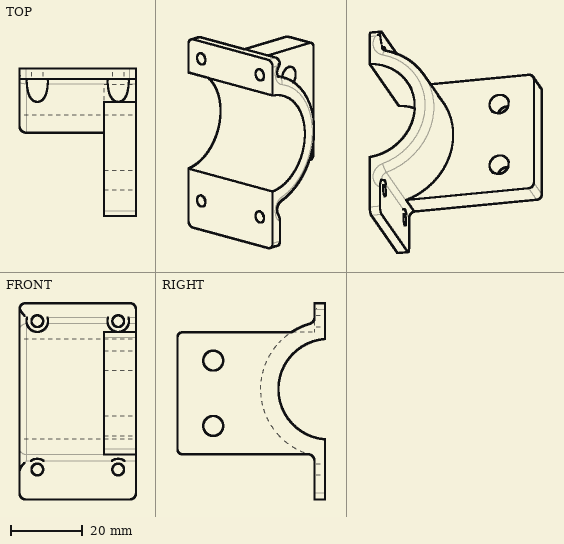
import cadquery as cq
import math

length = 32.55

bore_radius = 14.0
wall = 5.0
shell_radius = bore_radius + wall
end_round = 2.0

back_y = -1.0
flange_thickness = 3.0
flange_y = back_y - flange_thickness
flange_top = 24.0
flange_bottom = -30.8
flange_corner = 1.8
root_radius = 1.8

screw_diameter = 3.2
head_diameter = 6.0
screw_end_distance = 5.0
screw_x = (screw_end_distance, length - screw_end_distance)
screw_z = (18.95, -22.4)

part_depth = 41.2
plate_thickness = 9.0
plate_height = 34.1
plate_middle_z = -1.15
plate_corner = 1.5
plate_end_y = back_y - part_depth
bolt_diameter = 5.5
bolt_spacing = 18.2
bolt_edge_distance = 10.0


blend_y = flange_y - root_radius
blend_z = math.sqrt((shell_radius + root_radius) ** 2 - blend_y ** 2)
blend_angle = math.atan2(blend_z, -blend_y)


def make_shell_and_flanges():
    """Extrude the solid arch, its flanges and their concave root blends along X."""
    tangent_y = -shell_radius * math.cos(blend_angle)
    tangent_z = shell_radius * math.sin(blend_angle)

    middle_y = blend_y + root_radius * math.cos(blend_angle / 2)
    middle_z = blend_z - root_radius * math.sin(blend_angle / 2)

    return (
        cq.Workplane("YZ")
        .moveTo(back_y, flange_top)
        .lineTo(flange_y, flange_top)
        .lineTo(flange_y, blend_z)
        .threePointArc((middle_y, middle_z), (tangent_y, tangent_z))
        .threePointArc((-shell_radius, 0), (tangent_y, -tangent_z))
        .threePointArc((middle_y, -middle_z), (flange_y, -blend_z))
        .lineTo(flange_y, flange_bottom)
        .lineTo(back_y, flange_bottom)
        .close()
        .extrude(length)
    )


def make_rim_cutter(surface_radius, material_side, angle):
    """Revolve the waste corner of a rim rounding about the X axis, starting at -Y.

    material_side is -1 where the material lies inside surface_radius and +1 where it lies outside.
    """
    face_radius = surface_radius + material_side * end_round
    arc_offset = end_round * (1 - math.sqrt(0.5))
    arc_middle = (arc_offset, -(surface_radius + material_side * arc_offset))
    return (
        cq.Workplane("XY")
        .moveTo(0, -surface_radius)
        .lineTo(0, -face_radius)
        .threePointArc(arc_middle, (end_round, -surface_radius))
        .close()
        .revolve(angle, (0, 0), (1, 0))
    )


def round_rim(body):
    """Round the X = 0 edge of the shell and its root blends, running out through the flange faces."""
    half_angle = math.degrees(blend_angle)
    shell_cutter = make_rim_cutter(shell_radius, -1, 2 * half_angle)
    body = body.cut(shell_cutter.rotate((0, 0, 0), (1, 0, 0), -half_angle))
    blend_cutter = make_rim_cutter(root_radius, 1, 360)
    for side in (1, -1):
        body = body.cut(blend_cutter.translate((0, blend_y, side * blend_z)))
    return body


def round_flange_corners(body):
    """Trim the body to a rectangle with rounded corners, seen along Y."""
    envelope = (
        cq.Workplane("XY")
        .box(length, part_depth, flange_top - flange_bottom, centered=False)
        .edges("|Y")
        .fillet(flange_corner)
        .translate((0, plate_end_y, flange_bottom))
    )
    return body.intersect(envelope)


def make_plate():
    """Make the mounting plate with rounded outer corners and two bolt holes."""
    plate_depth = flange_y - plate_end_y
    plate = (
        cq.Workplane("XY")
        .box(plate_thickness, plate_depth, plate_height, centered=(False, False, True))
        .faces("<Y")
        .edges("|X")
        .fillet(plate_corner)
        .translate((length - plate_thickness, plate_end_y, plate_middle_z))
    )
    bolt_y = plate_end_y + bolt_edge_distance
    bolt_z = (plate_middle_z + bolt_spacing / 2, plate_middle_z - bolt_spacing / 2)
    bolt_holes = (
        cq.Workplane("YZ")
        .pushPoints([(bolt_y, z) for z in bolt_z])
        .circle(bolt_diameter / 2)
        .extrude(length)
    )
    return plate.cut(bolt_holes)


def cylinders_at_screws(diameter, start_y, end_y):
    """Make a cylinder along Y at every flange screw."""
    return (
        cq.Workplane("XZ", origin=(0, start_y, 0))
        .pushPoints([(x, z) for x in screw_x for z in screw_z])
        .circle(diameter / 2)
        .extrude(start_y - end_y)
    )


shell = round_flange_corners(round_rim(make_shell_and_flanges()))
shell = shell.cut(cylinders_at_screws(screw_diameter, back_y, flange_y))
shell = shell.cut(cylinders_at_screws(head_diameter, flange_y, -shell_radius))
bore = cq.Workplane("YZ").circle(bore_radius).extrude(length)
result = shell.union(make_plate()).cut(bore)